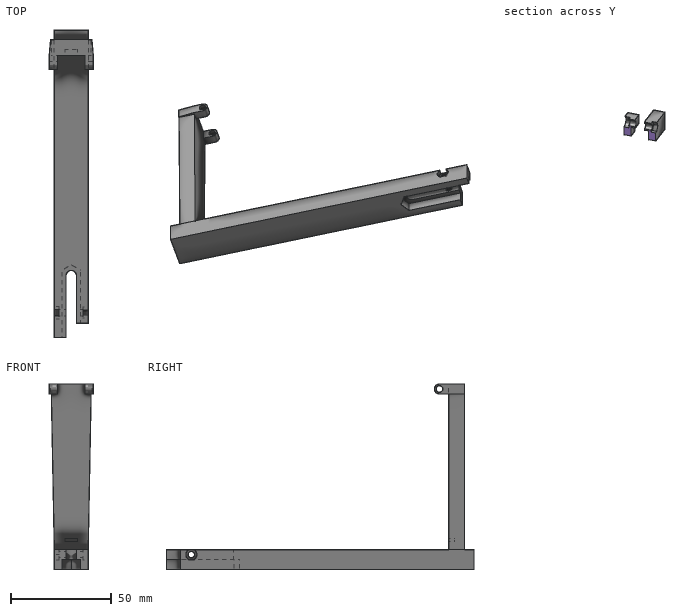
import cadquery as cq
import math


HEX_HALF_ANGLE = math.pi / 6

base_length = 153.1
base_width = 17.0
base_height = 10.0
base_front = -base_length / 2
base_rear = base_length / 2
short_arm_setback = 7.0

slot_width = 5.0
slot_length = 33.4
slot_radius = slot_width / 2

channel_width = 9.3
channel_height = base_height / 2
channel_point = channel_width / 2 * math.tan(HEX_HALF_ANGLE)
channel_length = slot_length - slot_radius + 2 * channel_point

bolt_diameter = 3.0
bolt_inset = 12.4
bolt_y = base_front + bolt_inset
bolt_z = -2.5
nut_across_flats = 5.2
nut_depth = 2.3
bolt_head_diameter = 5.5
bolt_head_depth = 2.6

overall_height = 92.5
upright_setback = 4.7
upright_height = overall_height - base_height
upright_thickness = 8.0
upright_rear = base_rear - upright_setback
upright_front = upright_rear - upright_thickness
upright_top_width = 19.9

cap_height = 5.0
cap_front_width = 22.0
cap_rear_width = 20.7
cap_bottom = upright_height - cap_height
lug_width = 4.3
lug_radius = cap_height / 2
lug_reach = 7.0
lug_hole_diameter = 3.2
lug_axis_y = upright_front - lug_reach + lug_radius
lug_axis_z = upright_height - lug_radius

window_width = 6.1
window_height = 1.4
window_bottom = 4.1
window_depth = 3.0


def box(x_min, x_max, y_min, y_max, z_min, z_max):
    """Box spanning the given limits."""
    size = (x_max - x_min, y_max - y_min, z_max - z_min)
    return cq.Workplane("XY").box(*size, centered=False).translate((x_min, y_min, z_min))


def cross_cylinder(diameter, x_start, length, y, z):
    """Cylinder along X."""
    return cq.Workplane("YZ", origin=(x_start, y, z)).circle(diameter / 2).extrude(length)


def fork_slot():
    """Round-ended slot through the full height, open at the front."""
    end_y = base_front + slot_length
    return (
        cq.Workplane("XY", origin=(0, 0, -base_height))
        .moveTo(-slot_radius, base_front)
        .lineTo(-slot_radius, end_y - slot_radius)
        .threePointArc((0, end_y), (slot_radius, end_y - slot_radius))
        .lineTo(slot_radius, base_front)
        .close()
        .extrude(base_height)
    )


def lower_channel():
    """Pointed channel in the underside, open at the front."""
    half_width = channel_width / 2
    tip_y = base_front + channel_length
    shoulder_y = tip_y - channel_point
    return (
        cq.Workplane("XY", origin=(0, 0, -base_height))
        .polyline([
            (-half_width, base_front),
            (-half_width, shoulder_y),
            (0, tip_y),
            (half_width, shoulder_y),
            (half_width, base_front),
        ])
        .close()
        .extrude(channel_height)
    )


def nut_pocket():
    """Hexagonal pocket in the -X side that breaks through the top face."""
    across_corners = nut_across_flats / math.cos(HEX_HALF_ANGLE)
    return (
        cq.Workplane("YZ", origin=(-base_width / 2, bolt_y, bolt_z))
        .polygon(6, across_corners)
        .extrude(nut_depth)
    )


def make_base():
    half_width = base_width / 2
    base = box(-half_width, half_width, base_front, base_rear, -base_height, 0)
    short_arm_end = base_front + short_arm_setback
    base = base.cut(box(0, half_width, base_front, short_arm_end, -base_height, 0))
    base = base.cut(fork_slot()).cut(lower_channel())
    base = base.cut(cross_cylinder(bolt_diameter, -half_width, base_width, bolt_y, bolt_z))
    base = base.cut(nut_pocket())
    head_start = half_width - bolt_head_depth
    return base.cut(cross_cylinder(bolt_head_diameter, head_start, bolt_head_depth, bolt_y, bolt_z))


def tapered_post():
    """Post that widens from the base width up to the underside of the cap."""
    return (
        cq.Workplane("XZ", origin=(0, upright_rear, 0))
        .polyline([
            (-base_width / 2, 0),
            (base_width / 2, 0),
            (upright_top_width / 2, cap_bottom),
            (-upright_top_width / 2, cap_bottom),
        ])
        .close()
        .extrude(upright_thickness)
    )


def cap():
    """Cap block, slightly narrower at the rear."""
    return (
        cq.Workplane("XY", origin=(0, 0, cap_bottom))
        .polyline([
            (-cap_front_width / 2, upright_front),
            (cap_front_width / 2, upright_front),
            (cap_rear_width / 2, upright_rear),
            (-cap_rear_width / 2, upright_rear),
        ])
        .close()
        .extrude(cap_height)
    )


def hinge_lug(x_start):
    """Lug reaching forward from the cap, with a round drilled end."""
    arm = box(x_start, x_start + lug_width, lug_axis_y, upright_front, cap_bottom, upright_height)
    eye = cross_cylinder(2 * lug_radius, x_start, lug_width, lug_axis_y, lug_axis_z)
    hole = cross_cylinder(lug_hole_diameter, x_start, lug_width, lug_axis_y, lug_axis_z)
    return arm.union(eye).cut(hole)


def make_upright():
    upright = tapered_post().union(cap())
    for x_start in (-cap_front_width / 2, cap_front_width / 2 - lug_width):
        upright = upright.union(hinge_lug(x_start))
    window = box(
        -window_width / 2, window_width / 2,
        upright_front, upright_front + window_depth,
        window_bottom, window_bottom + window_height,
    )
    return upright.cut(window)


base = make_base()
upright = make_upright()

result = cq.Compound.makeCompound([base.val(), upright.val()])